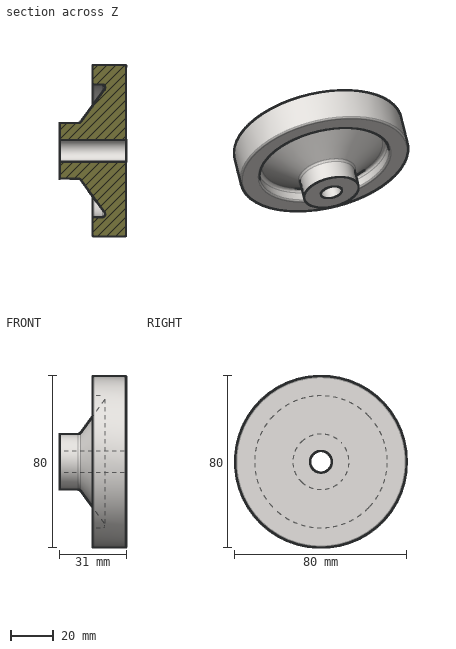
import cadquery as cq
import math

wheel_diameter = 80.0
rim_width = 15.8
hub_projection = 15.2
hub_diameter = 26.0
bore_diameter = 10.0
recess_diameter = 61.6
cone_start = 9.4
cone_angle = 53.9

rim_edge_radius = 0.8
recess_edge_radius = 0.8
groove_radius = 1.3
hub_root_radius = 1.4

wheel_radius = wheel_diameter / 2
hub_radius = hub_diameter / 2
bore_radius = bore_diameter / 2
recess_radius = recess_diameter / 2
back_face = hub_projection + rim_width
cone_end = cone_start + (recess_radius - hub_radius) / math.tan(math.radians(cone_angle))


def round_circle(body, x, radius, fillet_radius):
    """Fillet the circular edge lying at the given X and radius."""
    tolerance = 0.01
    low = (x - tolerance, -radius - tolerance, -radius - tolerance)
    high = (x + tolerance, radius + tolerance, radius + tolerance)
    edges = body.edges("%CIRCLE").edges(cq.selectors.BoxSelector(low, high, boundingbox=True))
    edge = edges.edges(cq.selectors.RadiusNthSelector(-1))
    return edge.fillet(fillet_radius)


wheel = (
    cq.Workplane("XY")
    .moveTo(0, bore_radius)
    .lineTo(0, hub_radius)
    .lineTo(cone_start, hub_radius)
    .lineTo(cone_end, recess_radius)
    .lineTo(hub_projection, recess_radius)
    .lineTo(hub_projection, wheel_radius)
    .lineTo(back_face, wheel_radius)
    .lineTo(back_face, bore_radius)
    .close()
    .revolve(360, (0, 0, 0), (1, 0, 0))
)

wheel = round_circle(wheel, cone_start, hub_radius, hub_root_radius)
wheel = round_circle(wheel, cone_end, recess_radius, groove_radius)
wheel = round_circle(wheel, hub_projection, recess_radius, recess_edge_radius)

for rim_face in (hub_projection, back_face):
    wheel = round_circle(wheel, rim_face, wheel_radius, rim_edge_radius)

result = wheel